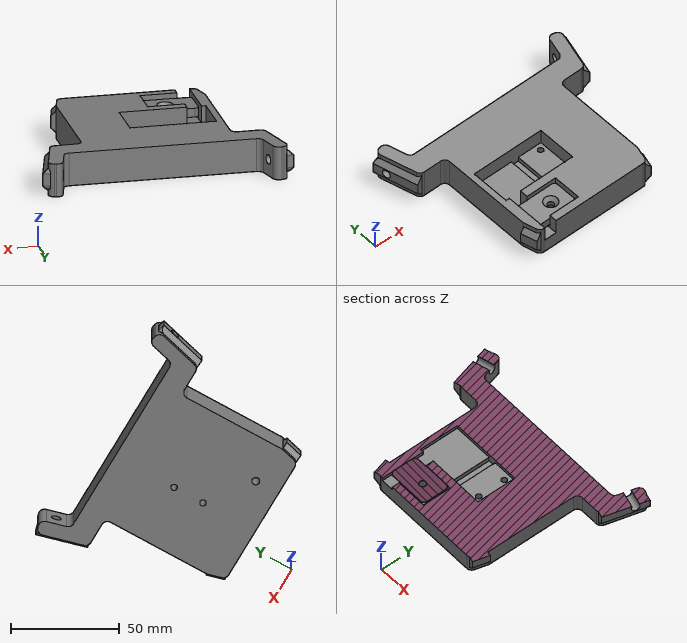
import cadquery as cq
import math

THICKNESS = 16.0
BODY_HALF_WIDTH = 35.2
BODY_LENGTH = 74.4
ARM_FRONT_Y = 62.9
ARM_HALF_WIDTH = 50.5
ARM_WIDTH = 6.9
ARM_LENGTH = 24.9
FRONT_CORNER_HALF_WIDTH = 32.7
LEAN = 15.0
CORNER_RADIUS = 3.0

RAIL_PROTRUSION = 2.5
RAIL_DEPTH = 3.5
RAIL_FACE_HEIGHT = 5.8
ARM_RAIL_START = -0.1
ARM_RAIL_LENGTH = 24.7
RAIL_TIP_RADIUS = 2.5
FRONT_RAIL_START = 0.1
FRONT_RAIL_LENGTH = 9.0

ARM_HOLE_DIAMETER = 4.5
ARM_HOLE_DISTANCE = 17.2

POCKET_LEFT = -31.9
POCKET_RIGHT = 9.0
POCKET_FRONT = 24.7
POCKET_BACK = 46.6
POCKET_DEPTH = 8.3
GROOVE_LEFT = -9.1
GROOVE_WIDTH = 4.3
GROOVE_DEPTH = 2.5
POCKET_HOLE_DIAMETER = 3.0
POCKET_HOLE_X = 5.8
POCKET_HOLE_YS = (27.9, 43.2)

CHANNEL_LEFT = -29.9
CHANNEL_WIDTH = 6.9

RECESS_LENGTH = 24.3
RECESS_WIDTH = 15.8
RECESS_BACK = 20.0
RECESS_DEPTH = 6.8
PLATE_LENGTH = 23.8
PLATE_WIDTH = 15.4
PLATE_THICKNESS = 4.3
PLATE_CORNER_RADIUS = 2.0
PLATE_HOLE_X = -15.5
PLATE_HOLE_Y = 12.1
PLATE_HOLE_DIAMETER = 3.5
COUNTERSINK_DIAMETER = 7.5
COUNTERSINK_ANGLE = 90.0

SIN_LEAN = math.sin(math.radians(LEAN))
COS_LEAN = math.cos(math.radians(LEAN))
TAN_LEAN = math.tan(math.radians(LEAN))

ARM_CORNER = (-ARM_HALF_WIDTH, ARM_FRONT_Y)
FRONT_CORNER = (-FRONT_CORNER_HALF_WIDTH, 0)


def along_side(corner, distance, outward):
    """Point on the left: distance up a slanted side from its corner, then outward from it."""
    x = corner[0] - distance * SIN_LEAN - outward * COS_LEAN
    y = corner[1] + distance * COS_LEAN - outward * SIN_LEAN
    return (x, y)


def box(left, front, length, width, bottom, height):
    """Box placed by its left, front and bottom sides."""
    return cq.Workplane("XY").box(length, width, height, centered=False).translate((left, front, bottom))


def make_plate_blank():
    """Housing outline with rounded corners, without rails or pockets."""
    tip_outer = along_side(ARM_CORNER, ARM_LENGTH, 0)
    tip_inner = along_side(ARM_CORNER, ARM_LENGTH, -ARM_WIDTH)
    arm_inner_corner = (tip_inner[0] + (tip_inner[1] - BODY_LENGTH) * TAN_LEAN, BODY_LENGTH)
    slant_top_y = (BODY_HALF_WIDTH - FRONT_CORNER_HALF_WIDTH) / TAN_LEAN
    left_points = [
        FRONT_CORNER,
        (-BODY_HALF_WIDTH, slant_top_y),
        (-BODY_HALF_WIDTH, ARM_FRONT_Y),
        ARM_CORNER,
        tip_outer,
        tip_inner,
        arm_inner_corner,
    ]
    right_points = [(-x, y) for x, y in reversed(left_points)]
    blank = cq.Workplane("XY").polyline(left_points + right_points).close().extrude(THICKNESS)

    bend_tolerance = 0.01
    rounded = blank.edges("|Z").filter(lambda edge: abs(edge.Center().y - slant_top_y) > bend_tolerance)
    return rounded.fillet(CORNER_RADIUS)


def make_left_rail(corner, start, length):
    """Rail of trapezoidal section running up a slanted left side."""
    x, y = along_side(corner, start, 0)
    section = cq.Plane(
        origin=(x, y, THICKNESS / 2),
        xDir=(-COS_LEAN, -SIN_LEAN, 0),
        normal=(-SIN_LEAN, COS_LEAN, 0),
    )
    face_half = RAIL_FACE_HEIGHT / 2
    root_half = face_half + RAIL_DEPTH
    root = RAIL_PROTRUSION - RAIL_DEPTH
    outline = [
        (RAIL_PROTRUSION, -face_half),
        (RAIL_PROTRUSION, face_half),
        (root, root_half),
        (root, -root_half),
    ]
    return cq.Workplane(section).polyline(outline).close().extrude(length)


def make_left_tip_rounding():
    """Cutters that round the upper and lower bevels of the left arm rail at its tip."""
    x, y = along_side(ARM_CORNER, ARM_RAIL_START + ARM_RAIL_LENGTH, RAIL_PROTRUSION)
    face = cq.Plane(
        origin=(x, y, THICKNESS / 2),
        xDir=(-SIN_LEAN, COS_LEAN, 0),
        normal=(-COS_LEAN, -SIN_LEAN, 0),
    )
    face_half = RAIL_FACE_HEIGHT / 2
    root_half = face_half + RAIL_DEPTH
    radius = RAIL_TIP_RADIUS
    arc_offset = radius * math.sin(math.radians(45))
    upper = (
        cq.Workplane(face)
        .moveTo(0, face_half)
        .threePointArc((arc_offset - radius, face_half + arc_offset), (-radius, face_half + radius))
        .lineTo(-radius, root_half)
        .lineTo(0, root_half)
        .close()
        .extrude(-RAIL_DEPTH)
    )
    lower = upper.mirror("XY", (0, 0, THICKNESS / 2))
    return upper, lower


def make_left_arm_hole():
    """Cutter square to the slanted side, passing through rail and arm."""
    x, y = along_side(ARM_CORNER, ARM_HOLE_DISTANCE, RAIL_PROTRUSION)
    face = cq.Plane(origin=(x, y, THICKNESS / 2), xDir=(0, 0, 1), normal=(COS_LEAN, SIN_LEAN, 0))
    cutter_length = RAIL_PROTRUSION + ARM_WIDTH + 1.2
    return cq.Workplane(face).circle(ARM_HOLE_DIAMETER / 2).extrude(cutter_length)


def make_housing():
    housing = make_plate_blank()

    arm_rail = make_left_rail(ARM_CORNER, ARM_RAIL_START, ARM_RAIL_LENGTH)
    for cutter in make_left_tip_rounding():
        arm_rail = arm_rail.cut(cutter)
    front_rail = make_left_rail(FRONT_CORNER, FRONT_RAIL_START, FRONT_RAIL_LENGTH)
    for rail in (arm_rail, front_rail):
        housing = housing.union(rail).union(rail.mirror("YZ"))
    arm_hole = make_left_arm_hole()
    housing = housing.cut(arm_hole).cut(arm_hole.mirror("YZ"))

    pocket_floor = THICKNESS - POCKET_DEPTH
    pocket_length = POCKET_RIGHT - POCKET_LEFT
    pocket_width = POCKET_BACK - POCKET_FRONT
    housing = housing.cut(
        box(POCKET_LEFT, POCKET_FRONT, pocket_length, pocket_width, pocket_floor, POCKET_DEPTH)
    )
    groove_floor = pocket_floor - GROOVE_DEPTH
    housing = housing.cut(
        box(GROOVE_LEFT, POCKET_FRONT, GROOVE_WIDTH, pocket_width, groove_floor, GROOVE_DEPTH)
    )

    housing = housing.cut(box(CHANNEL_LEFT, 0, CHANNEL_WIDTH, POCKET_FRONT, pocket_floor, POCKET_DEPTH))

    recess_front = RECESS_BACK - RECESS_WIDTH
    recess_floor = THICKNESS - RECESS_DEPTH
    housing = housing.cut(
        box(CHANNEL_LEFT, recess_front, RECESS_LENGTH, RECESS_WIDTH, recess_floor, RECESS_DEPTH)
    )

    pocket_holes = [(POCKET_HOLE_X, y) for y in POCKET_HOLE_YS]
    housing = housing.cut(
        cq.Workplane("XY").pushPoints(pocket_holes).circle(POCKET_HOLE_DIAMETER / 2).extrude(THICKNESS)
    )
    return housing.cut(
        cq.Workplane("XY")
        .center(PLATE_HOLE_X, PLATE_HOLE_Y)
        .circle(PLATE_HOLE_DIAMETER / 2)
        .extrude(THICKNESS)
    )


def make_clamp_plate():
    """Rounded plate on the recess floor with a countersunk screw hole."""
    bottom = THICKNESS - RECESS_DEPTH
    front = RECESS_BACK - PLATE_WIDTH
    plate = box(CHANNEL_LEFT, front, PLATE_LENGTH, PLATE_WIDTH, bottom, PLATE_THICKNESS)
    plate = plate.edges("|Z").fillet(PLATE_CORNER_RADIUS)
    return (
        plate.faces(">Z")
        .workplane(origin=(PLATE_HOLE_X, PLATE_HOLE_Y, 0))
        .cskHole(PLATE_HOLE_DIAMETER, COUNTERSINK_DIAMETER, COUNTERSINK_ANGLE)
    )


housing = make_housing()
clamp_plate = make_clamp_plate()

result = cq.Compound.makeCompound([housing.val(), clamp_plate.val()])